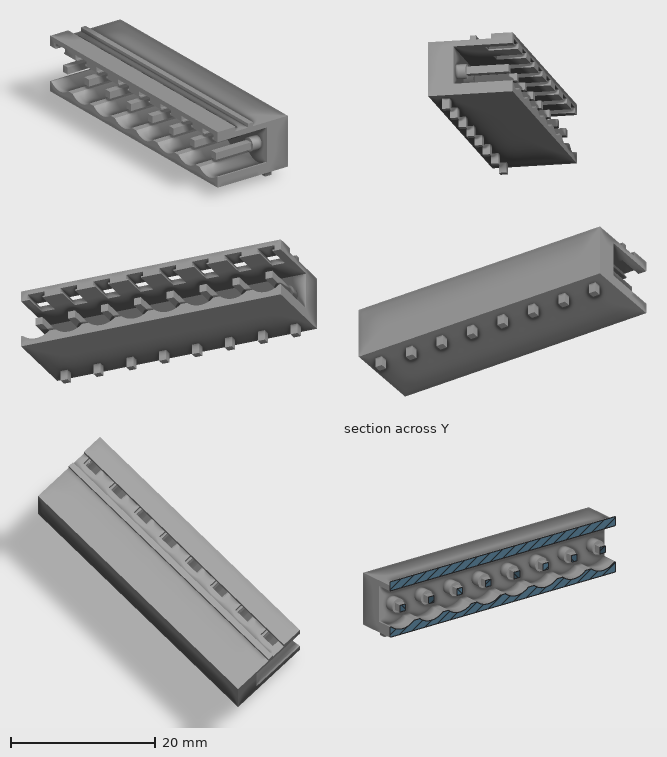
import cadquery as cq


LENGTH = 39.6
DEPTH = 12.0
LIP_TOP_Z = 8.47

BACK_WALL = 3.55
FLOOR_Z = 1.6
CEILING_Z = 6.93
ROOF_Z = 7.75
LIP_DEPTH = 3.1
RIB_FRONT_Y = 5.23
RIB_WIDTH = 0.85
RIB_TOP_Z = 8.35
CAVITY_BACK_Y = DEPTH - BACK_WALL

CONTACTS = 8
FIRST_X = 2.25
PITCH = (LENGTH - 2 * FIRST_X) / (CONTACTS - 1)
CONTACT_XS = [FIRST_X + i * PITCH for i in range(CONTACTS)]

PIN_WIDTH = 1.05
PIN_AXIS_Z = 3.9
PIN_TIP_Y = 0.95
LEG_AXIS_TO_BACK = 2.1
LEG_LENGTH = 1.45
LEG_AXIS_Y = DEPTH - LEG_AXIS_TO_BACK

BOSS_RADIUS = 1.03
BOSS_LENGTH = 1.45
SCALLOP_RADIUS = 3.05

SLOT_WIDE = 2.57
SLOT_NARROW = 1.95
SLOT_STEP_Z = 7.13
SLOT_LENGTH = 4.15


def make_shell():
    """C-shaped side profile with the roof rib and front lip, extruded along X."""
    profile = [
        (0, 0),
        (DEPTH, 0),
        (DEPTH, ROOF_Z),
        (RIB_FRONT_Y + RIB_WIDTH, ROOF_Z),
        (RIB_FRONT_Y + RIB_WIDTH, RIB_TOP_Z),
        (RIB_FRONT_Y, RIB_TOP_Z),
        (RIB_FRONT_Y, ROOF_Z),
        (LIP_DEPTH, ROOF_Z),
        (LIP_DEPTH, LIP_TOP_Z),
        (0, LIP_TOP_Z),
        (0, CEILING_Z),
        (CAVITY_BACK_Y, CEILING_Z),
        (CAVITY_BACK_Y, FLOOR_Z),
        (0, FLOOR_Z),
    ]
    return cq.Workplane("YZ").polyline(profile).close().extrude(LENGTH)


def cylinder_along_pin(x, radius, start_y, end_y):
    """Cylinder on the pin axis at x, running from start_y back to end_y."""
    return (
        cq.Workplane("XZ", origin=(x, start_y, PIN_AXIS_Z))
        .circle(radius)
        .extrude(start_y - end_y)
    )


def make_trough(x):
    """Scallop along the cavity floor, concentric with the pin; only its lower half cuts."""
    cylinder = cylinder_along_pin(x, SCALLOP_RADIUS, 0, CAVITY_BACK_Y)
    below_axis = cq.Workplane("XY").box(LENGTH, DEPTH, PIN_AXIS_Z, centered=False)
    return cylinder.intersect(below_axis)


def make_slot(x):
    """Coding slot, open to the cavity below and at the front; it ends level with the roof."""
    def block(width, bottom_z):
        base = cq.Workplane("XY", origin=(x, SLOT_LENGTH / 2, bottom_z))
        return base.rect(width, SLOT_LENGTH).extrude(ROOF_Z - bottom_z)

    return block(SLOT_WIDE, SLOT_STEP_Z).union(block(SLOT_NARROW, CEILING_Z))


def make_pin(x):
    """Square L-shaped pin: a horizontal contact and a leg through the base."""
    half = PIN_WIDTH / 2
    outline = [
        (PIN_TIP_Y, PIN_AXIS_Z + half),
        (LEG_AXIS_Y + half, PIN_AXIS_Z + half),
        (LEG_AXIS_Y + half, -LEG_LENGTH),
        (LEG_AXIS_Y - half, -LEG_LENGTH),
        (LEG_AXIS_Y - half, PIN_AXIS_Z - half),
        (PIN_TIP_Y, PIN_AXIS_Z - half),
    ]
    return cq.Workplane("YZ", origin=(x - half, 0, 0)).polyline(outline).close().extrude(PIN_WIDTH)


def make_housing(pins):
    """Shell with a trough, slot, boss and matching pin passage at each contact."""
    housing = make_shell()
    for x, pin in zip(CONTACT_XS, pins):
        housing = housing.cut(make_trough(x))
        housing = housing.cut(make_slot(x))
        housing = housing.union(cylinder_along_pin(x, BOSS_RADIUS, CAVITY_BACK_Y - BOSS_LENGTH, CAVITY_BACK_Y))
        housing = housing.cut(pin)
    return housing


pins = [make_pin(x) for x in CONTACT_XS]
housing = make_housing(pins)

result = cq.Compound.makeCompound([housing.val(), *[pin.val() for pin in pins]])